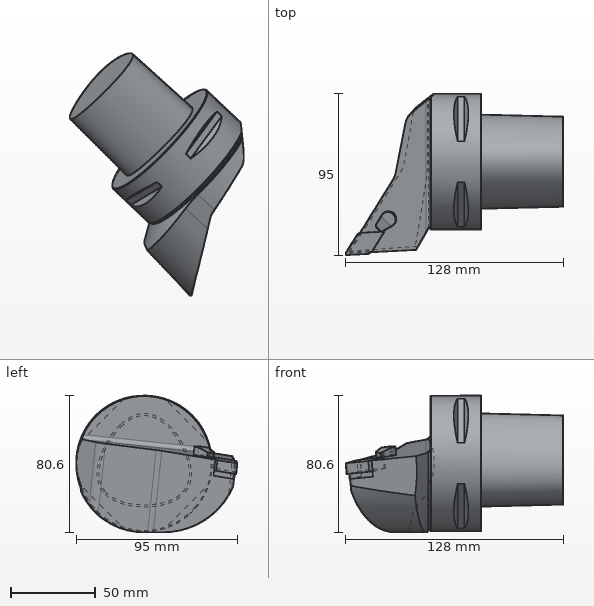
import cadquery as cq
import math


flange_radius = 40.0
flange_length = 30.0
flange_chamfer = 0.4
groove_center_x = -12.0
groove_floor_width = 4.0
groove_floor_distance = 35.5
groove_flank_angle = 27.0

shank_length = 48.0
shank_base_radius = 27.5
shank_lobe_offset = 2.0
shank_taper = 1 / 20
shank_outline_points = 36

tip_x = -80.0
tip_y = -55.0
rake_slope_x = math.tan(math.radians(5.5))
rake_slope_y = math.tan(math.radians(6.0))
root_fillet = 3.0

head_radius = 40.61
wide_radius = 45.0
wide_center_y = -11.2
head_neck_radius = 39.4
neck_start_x = -31.2
cone_slope = math.tan(math.radians(60.0))

inner_corner = (-51.0, -8.75)
outer_corner = (-44.1, 26.3)
relief_point = (-27.7, 39.8)
wall_fillet = 10.0

insert_circle = 12.7
insert_angle = 55.0
insert_lead_angle = 3.0
insert_thickness = 6.35
nose_radius = 0.8
obtuse_chamfer = 1.4
shim_thickness = 3.18
shim_inset = 0.8
wall_inset = 0.9

clamp_center = (-54.6, -33.6)
clamp_direction = 224.0
clamp_diameter = 9.0
clamp_height = 4.8
clamp_tip_height = 2.8
clamp_crest = 1.5
clamp_shoulder = (7.7, 2.75)
clamp_tip = (8.5, 1.65)

reach = 70.0

rake_plane = cq.Plane(
    origin=(tip_x, tip_y, 0),
    xDir=(1, 0, rake_slope_x),
    normal=(-rake_slope_x, -rake_slope_y, 1),
)


def on_rake(point):
    """Local coordinates, in the rake plane, of the face point above (X, Y)."""
    x, y = point
    z = rake_slope_x * (x - tip_x) + rake_slope_y * (y - tip_y)
    local = rake_plane.toLocalCoords(cq.Vector(x, y, z))
    return (local.x, local.y)


def polar(start, length, angle):
    """Point at a distance and an angle in degrees from a start point."""
    radians = math.radians(angle)
    return (start[0] + length * math.cos(radians), start[1] + length * math.sin(radians))


def rake_prism(points, top, bottom):
    """Polygon in the rake plane, extruded square to it between two heights."""
    base = cq.Workplane(rake_plane).workplane(offset=bottom)
    return base.polyline(points).close().extrude(top - bottom)


bisector = insert_lead_angle + insert_angle / 2
side_angle = insert_lead_angle + insert_angle
half_sine = math.sin(math.radians(insert_angle / 2))
edge_length = insert_circle / math.sin(math.radians(insert_angle))
nose_center = (nose_radius, nose_radius)
sharp_tip = polar(nose_center, -nose_radius / half_sine, bisector)


def rhombus(inset):
    """Insert outline with its two cutting edges moved inwards."""
    tip = polar(sharp_tip, inset / half_sine, bisector)
    length = edge_length - inset / math.sin(math.radians(insert_angle))
    right = polar(tip, length, insert_lead_angle)
    return [tip, right, polar(right, length, side_angle), polar(tip, length, side_angle)]


def edges_at(body, point):
    """Edge square to the rake face that passes through a point of it."""
    x, y = point
    place = rake_plane.toWorldCoords((x, y, -insert_thickness / 2))
    return body.edges(cq.selectors.NearestToPointSelector(place.toTuple()))


def make_insert():
    corners = rhombus(0)
    body = rake_prism(corners, 0, -insert_thickness)
    tip, right, back, left = corners
    for corner in (tip, back):
        body = edges_at(body, corner).fillet(nose_radius)
    for corner in (right, left):
        body = edges_at(body, corner).chamfer(obtuse_chamfer)
    return body


def make_flange():
    flange = cq.Workplane("YZ").circle(flange_radius).extrude(-flange_length)
    flange = flange.edges().chamfer(flange_chamfer)
    depth = flange_radius - groove_floor_distance
    half_floor = groove_floor_width / 2
    half_mouth = half_floor + depth * math.tan(math.radians(groove_flank_angle))
    groove = (
        cq.Workplane("XZ", origin=(groove_center_x, 0, 0))
        .polyline([
            (-half_floor, groove_floor_distance),
            (half_floor, groove_floor_distance),
            (half_mouth, flange_radius),
            (-half_mouth, flange_radius),
        ])
        .close()
        .extrude(flange_radius, both=True)
    )
    for angle in (45, 135, 225, 315):
        flange = flange.cut(groove.rotate((0, 0, 0), (1, 0, 0), angle))
    return flange


def lobed_outline(radius):
    """Points around the three-lobed curve, with one lobe towards +Z."""
    points = []
    for step in range(shank_outline_points):
        angle = 2 * math.pi * step / shank_outline_points
        y = radius * math.sin(angle) + shank_lobe_offset * math.sin(2 * angle)
        z = shank_lobe_offset * math.cos(2 * angle) - radius * math.cos(angle)
        points.append((y, z))
    return points


def make_shank():
    end_radius = shank_base_radius - shank_length * shank_taper / 2
    return (
        cq.Workplane("YZ")
        .spline(lobed_outline(shank_base_radius), periodic=True)
        .close()
        .workplane(offset=shank_length)
        .spline(lobed_outline(end_radius), periodic=True)
        .close()
        .loft(ruled=True)
    )


def make_head_blank():
    """Head cross-section run along X, with a conical back and a short neck."""
    wide_center_z = wide_radius - head_radius
    front = cq.Workplane("YZ", origin=(-flange_length, 0, 0))
    length = -tip_x
    section = (
        front.moveTo(0, head_radius)
        .threePointArc((head_radius, 0), (0, -head_radius))
        .lineTo(wide_center_y, -head_radius)
        .threePointArc(
            (wide_center_y - wide_radius, wide_center_z),
            (wide_center_y, wide_center_z + wide_radius),
        )
        .close()
        .extrude(-length)
    )
    cone_x = neck_start_x - (reach - head_neck_radius) / cone_slope
    envelope = (
        cq.Workplane("XY")
        .polyline([
            (-flange_length, 0),
            (-flange_length, head_neck_radius),
            (neck_start_x, head_neck_radius),
            (cone_x, reach),
            (-flange_length - length, reach),
            (-flange_length - length, 0),
        ])
        .close()
        .revolve(360, (0, 0, 0), (1, 0, 0))
    )
    return section.intersect(envelope)


def make_side_walls():
    """Prism that bounds the head, and cuts one corner off the flange."""
    wall_tip = rhombus(wall_inset)[0]
    inner = on_rake(inner_corner)
    outer = on_rake(outer_corner)
    relief = on_rake(relief_point)
    relief_angle = math.degrees(math.atan2(relief[1] - outer[1], relief[0] - outer[0]))
    front_end = polar(wall_tip, 2 * reach, insert_lead_angle)
    relief_end = polar(outer, reach, relief_angle)
    points = [wall_tip, front_end, (front_end[0], relief_end[1]), relief_end, outer, inner]
    walls = rake_prism(points, reach, -reach)
    for corner, radius in ((wall_tip, nose_radius), (outer, wall_fillet), (inner, wall_fillet)):
        walls = edges_at(walls, corner).fillet(radius)
    return walls


def make_rake_cutter():
    """Space above the rake face, in front of the flange, with a rounded root."""
    block = cq.Workplane(rake_plane).rect(4 * reach, 4 * reach).extrude(2 * reach)
    front_space = cq.Workplane("YZ", origin=(-flange_length, 0, 0))
    front_space = front_space.rect(4 * reach, 4 * reach).extrude(-2 * reach)
    cutter = block.intersect(front_space)
    root_z = rake_slope_x * (-flange_length - tip_x) - rake_slope_y * tip_y
    root = cq.selectors.NearestToPointSelector((-flange_length, 0, root_z))
    return cutter.edges(root).fillet(root_fillet)


def make_clamp():
    """Round clamp with a tapering finger that slopes down to the insert."""
    center_x, center_y = on_rake(clamp_center)
    plane = cq.Workplane(rake_plane).center(center_x, center_y)
    plane = plane.transformed(rotate=(0, 0, clamp_direction))
    radius = clamp_diameter / 2
    crest = (clamp_crest, math.sqrt(radius**2 - clamp_crest**2))
    one_side = [crest, clamp_shoulder, clamp_tip]
    other_side = [(along, -across) for along, across in reversed(one_side)]
    post = plane.circle(radius).extrude(clamp_height)
    finger = plane.polyline(one_side + other_side).close().extrude(clamp_height)
    side = (
        plane.transformed(rotate=(90, 0, 0))
        .polyline([
            (clamp_crest, clamp_height),
            (clamp_tip[0], clamp_tip_height),
            (clamp_tip[0], clamp_height),
        ])
        .close()
        .extrude(clamp_diameter, both=True)
    )
    return post.union(finger).cut(side)


def make_holder():
    body = make_head_blank().union(make_flange())
    body = body.intersect(make_side_walls()).cut(make_rake_cutter())
    shim_bottom = -insert_thickness - shim_thickness
    body = body.cut(rake_prism(rhombus(0), reach / 2, -insert_thickness))
    shim = rake_prism(rhombus(shim_inset), -insert_thickness, shim_bottom)
    shim = edges_at(shim, rhombus(shim_inset)[0]).fillet(nose_radius)
    return body.union(shim).union(make_clamp()).union(make_shank())


holder = make_holder()
insert = make_insert()

result = cq.Compound.makeCompound([holder.val(), insert.val()])